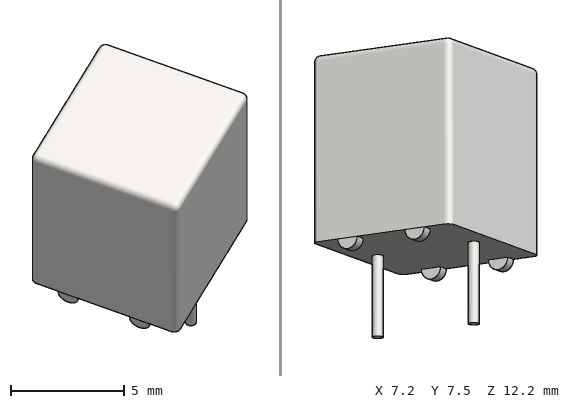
import cadquery as cq

housing_width = 7.2
housing_depth = 7.5
total_height = 12.2
lead_length = 3.7
edge_radius = 0.3

lead_diameter = 0.5
lead_spacing = 5.0

foot_radius = 0.5
foot_thickness = 0.5
foot_spacing = 3.49

housing_height = total_height - lead_length


def make_housing():
    """Box with rounded upright and top edges and a sharp-edged flat underside."""
    box = cq.Workplane("XY").box(
        housing_width, housing_depth, housing_height, centered=(True, True, False)
    )
    return box.edges("|Z or >Z").fillet(edge_radius).val()


def make_lead(x):
    """Straight round lead hanging from the underside."""
    lead = cq.Workplane("XY").center(x, 0).circle(lead_diameter / 2).extrude(-lead_length)
    return lead.val()


def make_foot(x, y):
    """Half-disc standoff, flat side against the underside, centred on x and y."""
    foot = (
        cq.Workplane("XZ")
        .moveTo(-foot_radius, 0)
        .threePointArc((0, -foot_radius), (foot_radius, 0))
        .close()
        .extrude(foot_thickness / 2, both=True)
    )
    return foot.translate((x, y, 0)).val()


housing = make_housing()

leads = [make_lead(side * lead_spacing / 2) for side in (-1, 1)]

foot_y = (housing_depth - foot_thickness) / 2
feet = [
    make_foot(x_side * foot_spacing / 2, y_side * foot_y)
    for x_side in (-1, 1)
    for y_side in (-1, 1)
]

result = cq.Compound.makeCompound([housing, *leads, *feet])